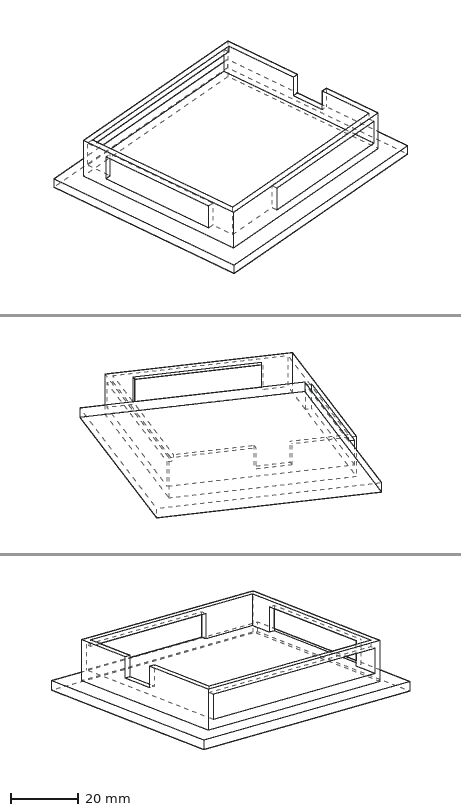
import cadquery as cq

turn_angle = 11.0
total_height = 16.0

flange_width = 69.7
flange_length = 80.45
flange_thickness = 3.0

tray_width = 58.0
tray_length = 67.0
wall = 1.9
floor_top = 6.0

rim_height = 2.0
side_pillar = 18.2
front_window_left = -20.3
front_window_right = 19.4
notch_left = -2.1
notch_right = 9.0
notch_depth = 6.7

cavity_width = tray_width - 2 * wall
cavity_length = tray_length - 2 * wall
window_top = total_height - rim_height


def box_between(x_min, x_max, y_min, y_max, z_min, z_max):
    """Axis-aligned box given by its limits."""
    box = cq.Workplane("XY").box(x_max - x_min, y_max - y_min, z_max - z_min, centered=False)
    return box.translate((x_min, y_min, z_min))


def centered_block(width, length, z_min, z_max):
    """Block centered on the Z axis."""
    return box_between(-width / 2, width / 2, -length / 2, length / 2, z_min, z_max)


flange = centered_block(flange_width, flange_length, 0, flange_thickness)
tray = centered_block(tray_width, tray_length, 0, total_height)
cavity = centered_block(cavity_width, cavity_length, floor_top, total_height)
body = flange.union(tray).cut(cavity)

left_window = box_between(
    -tray_width / 2, -cavity_width / 2, -cavity_length / 2, cavity_length / 2, floor_top, window_top
)
right_window = box_between(
    cavity_width / 2, tray_width / 2, side_pillar - cavity_length / 2, cavity_length / 2, floor_top, window_top
)
front_window = box_between(
    front_window_left, front_window_right, -tray_length / 2, -cavity_length / 2, floor_top, window_top
)

back_notch = box_between(
    notch_left, notch_right, cavity_length / 2, tray_length / 2, total_height - notch_depth, total_height
)

for opening in (left_window, right_window, front_window, back_notch):
    body = body.cut(opening)

result = body.rotate((0, 0, 0), (0, 0, 1), turn_angle)